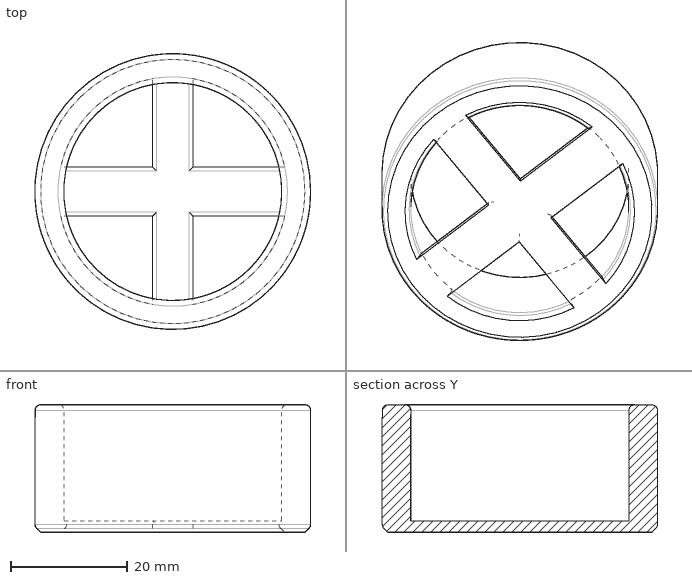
import cadquery as cq

outer_diameter = 47.5
bore_diameter = 37.5
height = 22.0
rim_fillet = 1.0
bottom_chamfer = 1.0
chamfer_blend = 1.0

arm_width_along_y_axis = 7.0
arm_width_along_x_axis = 8.5
arm_thickness = 2.0
arm_edge_fillet = 0.7

outer_radius = outer_diameter / 2
bore_radius = bore_diameter / 2
mid_wall_radius = (outer_radius + bore_radius) / 2


def make_ring():
    """Tube with rounded top edges and blended chamfers on both bottom edges."""
    tube = cq.Workplane("XY").circle(outer_radius).circle(bore_radius).extrude(height)
    tube = tube.faces("<Z").edges().chamfer(bottom_chamfer)
    chamfer_upper_edges = cq.selectors.BoxSelector(
        (-outer_radius, -outer_radius, bottom_chamfer / 2),
        (outer_radius, outer_radius, bottom_chamfer * 3 / 2),
    )
    tube = tube.edges("%CIRCLE").edges(chamfer_upper_edges).fillet(chamfer_blend)
    return tube.faces(">Z").edges().fillet(rim_fillet)


def make_cross():
    """Two crossing bars with rounded upper edges, ending inside the ring wall."""
    standing = (True, True, False)
    bar_along_x = cq.Workplane("XY").box(
        2 * outer_radius, arm_width_along_x_axis, arm_thickness, centered=standing
    )
    bar_along_y = cq.Workplane("XY").box(
        arm_width_along_y_axis, 2 * outer_radius, arm_thickness, centered=standing
    )
    cross = bar_along_x.union(bar_along_y).faces(">Z").edges().fillet(arm_edge_fillet)
    trim = cq.Workplane("XY").circle(mid_wall_radius).extrude(arm_thickness)
    return cross.intersect(trim)


result = make_ring().union(make_cross())